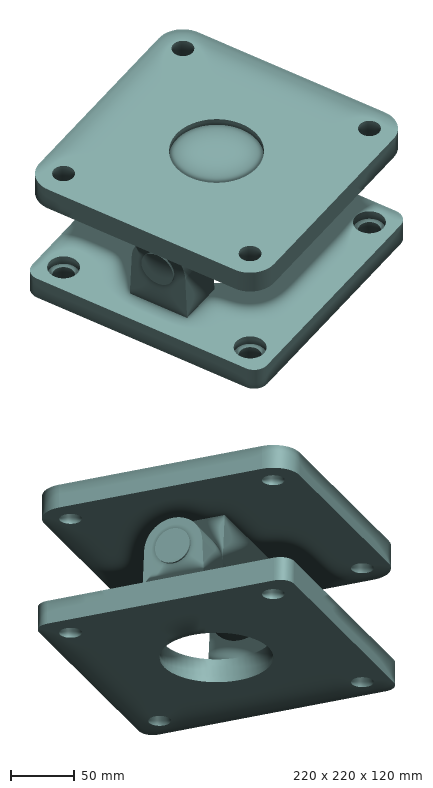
import cadquery as cq
import math

plate_side = 220.0
total_height = 120.0
plate_thickness = 20.0
pivot_height = total_height / 2
upper_plate_bottom = total_height - plate_thickness

lower_corner_radius = 12.0
upper_corner_radius = 22.5
bolt_spacing = 175.0
bolt_diameter = 18.0
counterbore_diameter = 26.0
counterbore_depth = 8.0
recess_diameter = 75.0
recess_depth = 6.0

knuckle_radius = 25.0
flank_angle = math.radians(2.5)
knuckle_length = 90.0
ear_thickness = 40.0
pin_diameter = 30.0
pin_overhang = 1.8
pin_length = knuckle_length + 2 * (ear_thickness + pin_overhang)
centre_hole_diameter = knuckle_length


def plate(bottom, corner_radius):
    """Square plate with rounded corners and four bolt holes."""
    return (
        cq.Workplane("XY", origin=(0, 0, bottom))
        .rect(plate_side, plate_side)
        .extrude(plate_thickness)
        .edges("|Z")
        .fillet(corner_radius)
        .faces(">Z")
        .workplane()
        .rect(bolt_spacing, bolt_spacing, forConstruction=True)
        .vertices()
        .hole(bolt_diameter)
    )


def cylinder_along_y(diameter, length):
    """Cylinder on the pivot axis, centred on Y = 0."""
    return (
        cq.Workplane("XZ", origin=(0, 0, pivot_height))
        .circle(diameter / 2)
        .extrude(length / 2, both=True)
    )


def hinge_lug(base_height, y_centre, length):
    """Lug on the pivot axis whose flanks taper to meet the round end tangentially."""
    toward_base = math.copysign(1, base_height - pivot_height)
    drop = abs(base_height - pivot_height)
    base_half_width = knuckle_radius / math.cos(flank_angle) + drop * math.tan(flank_angle)
    tangent_x = knuckle_radius * math.cos(flank_angle)
    tangent_z = pivot_height - toward_base * knuckle_radius * math.sin(flank_angle)
    tip_z = pivot_height - toward_base * knuckle_radius
    return (
        cq.Workplane("XZ", origin=(0, y_centre, 0))
        .moveTo(-base_half_width, base_height)
        .lineTo(-tangent_x, tangent_z)
        .threePointArc((0, tip_z), (tangent_x, tangent_z))
        .lineTo(base_half_width, base_height)
        .close()
        .extrude(length / 2, both=True)
    )


def make_lower_hinge():
    """Base plate with a central opening, counterbored bolt holes and two bored ears."""
    opening = cq.Workplane("XY").circle(centre_hole_diameter / 2).extrude(plate_thickness)
    counterbores = (
        cq.Workplane("XY", origin=(0, 0, plate_thickness - counterbore_depth))
        .rect(bolt_spacing, bolt_spacing, forConstruction=True)
        .vertices()
        .circle(counterbore_diameter / 2)
        .extrude(counterbore_depth)
    )
    body = plate(0, lower_corner_radius).cut(opening).cut(counterbores)
    ear_offset = (knuckle_length + ear_thickness) / 2
    for side in (-1, 1):
        body = body.union(hinge_lug(plate_thickness, side * ear_offset, ear_thickness))
    return body.cut(cylinder_along_y(pin_diameter, pin_length))


def make_upper_hinge():
    """Recessed top plate with a central knuckle and an integral pivot pin."""
    recess = (
        cq.Workplane("XY", origin=(0, 0, total_height - recess_depth))
        .circle(recess_diameter / 2)
        .extrude(recess_depth)
    )
    body = plate(upper_plate_bottom, upper_corner_radius).cut(recess)
    body = body.union(hinge_lug(upper_plate_bottom, 0, knuckle_length))
    return body.union(cylinder_along_y(pin_diameter, pin_length))


lower_hinge = make_lower_hinge().solids()
upper_hinge = make_upper_hinge().solids()
result = cq.Compound.makeCompound([lower_hinge.val(), upper_hinge.val()])